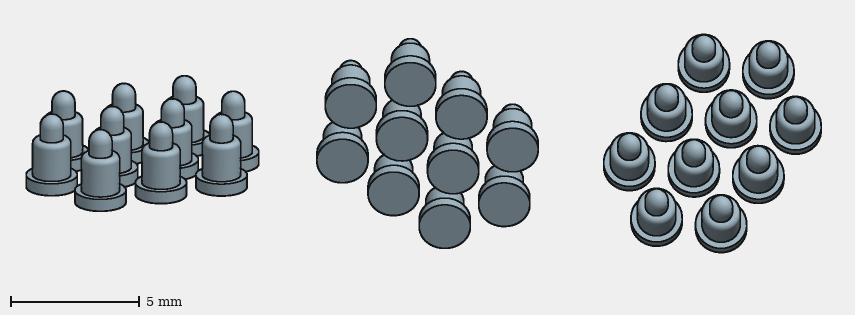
import cadquery as cq
import math

flange_diameter = 2.0
flange_height = 0.5
barrel_diameter = 1.5
barrel_top = 2.0
barrel_edge_radius = 0.2
plunger_diameter = 0.9
pin_height = 3.0

overall_width = 6.4
overall_length = 9.5
pins_per_column = [3, 4, 3]
column_pitch = (overall_width - flange_diameter) / (len(pins_per_column) - 1)
row_pitch = (overall_length - flange_diameter) / (max(pins_per_column) - 1)


def pin(x, y):
    """Revolve the half profile of one pin and place it at (x, y)."""
    flange_radius = flange_diameter / 2
    barrel_radius = barrel_diameter / 2
    plunger_radius = plunger_diameter / 2
    dome_center = pin_height - plunger_radius
    edge_center_r = barrel_radius - barrel_edge_radius
    edge_center_z = barrel_top - barrel_edge_radius
    diagonal = math.sqrt(0.5)

    edge_middle = (
        edge_center_r + barrel_edge_radius * diagonal,
        edge_center_z + barrel_edge_radius * diagonal,
    )
    dome_middle = (plunger_radius * diagonal, dome_center + plunger_radius * diagonal)

    profile = (
        cq.Workplane("XZ")
        .moveTo(0, 0)
        .lineTo(flange_radius, 0)
        .lineTo(flange_radius, flange_height)
        .lineTo(barrel_radius, flange_height)
        .lineTo(barrel_radius, edge_center_z)
        .threePointArc(edge_middle, (edge_center_r, barrel_top))
        .lineTo(plunger_radius, barrel_top)
        .lineTo(plunger_radius, dome_center)
        .threePointArc(dome_middle, (0, pin_height))
        .close()
    )
    return profile.revolve(360, (0, 0), (0, 1)).translate((x, y, 0))


pins = []
for column, pin_count in enumerate(pins_per_column):
    x = (column - (len(pins_per_column) - 1) / 2) * column_pitch
    for row in range(pin_count):
        y = (row - (pin_count - 1) / 2) * row_pitch
        pins.append(pin(x, y).val())

result = cq.Compound.makeCompound(pins)